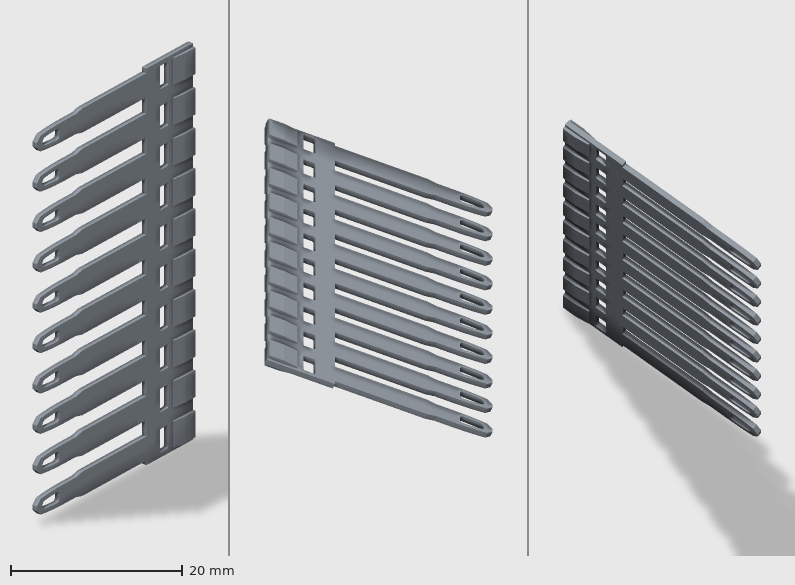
import cadquery as cq
import math

TILT = 3.0
PLATE_THICKNESS = 0.7
TOTAL_LENGTH = 28.5
TOTAL_HEIGHT = 52.1

FINGER_COUNT = 10
END_FINGER_INSET = 2.2
FINGER_PITCH = (TOTAL_HEIGHT - 2 * END_FINGER_INSET) / (FINGER_COUNT - 1)
FINGER_WIDTH = 3.2
NECK_WIDTH = 2.6
TIP_WIDTH = 0.6
FINGER_ROOT = 8.5
SHOULDER_START = 20.2
NECK_START = 21.35
CURVE_START = 23.7
POINT_START = 27.8
SIDE_RADIUS = 31.25

EYELET_START = 24.4
EYELET_END = 27.45
EYELET_MARGIN = 0.55
EYELET_END_RADIUS = 0.5
EYELET_CORNER_RADIUS = 0.4

WINDOW_START = 4.5
WINDOW_END = 6.05
WINDOW_HEIGHT = 3.05
WINDOW_CORNER_RADIUS = 0.2

STRIP_LENGTH = 2.5
PAD_LENGTH = 3.65
PAD_FLAT_LENGTH = 1.9
PAD_HEIGHT = 3.5
PAD_THICKNESS = 0.4
PAD_TIP_THICKNESS = 0.2

LAYOUT = cq.Plane(origin=(0, 0, 0), xDir=(0, -1, 0), normal=(-1, 0, 0))
HALF_PLATE = PLATE_THICKNESS / 2

finger_heights = [(i - (FINGER_COUNT - 1) / 2) * FINGER_PITCH for i in range(FINGER_COUNT)]


def slab(start, end, height):
    """Rectangular piece of plate, centred on the layout plane and on Z = 0."""
    return (
        cq.Workplane(LAYOUT)
        .center((start + end) / 2, 0)
        .rect(end - start, height)
        .extrude(HALF_PLATE, both=True)
    )


def curved_half_width(along, margin=0.0):
    """Half width of the finger's curved part, reduced by a margin normal to its side."""
    radius = SIDE_RADIUS - margin
    drop = radius - math.sqrt(radius**2 - (along - CURVE_START) ** 2)
    return NECK_WIDTH / 2 - margin - drop


def make_finger():
    """Stepped, pointed finger, reaching from the band to its tip."""
    curve_middle = (CURVE_START + POINT_START) / 2
    middle_half = curved_half_width(curve_middle)
    end_half = curved_half_width(POINT_START)
    return (
        cq.Workplane(LAYOUT)
        .moveTo(FINGER_ROOT, -FINGER_WIDTH / 2)
        .lineTo(SHOULDER_START, -FINGER_WIDTH / 2)
        .lineTo(NECK_START, -NECK_WIDTH / 2)
        .lineTo(CURVE_START, -NECK_WIDTH / 2)
        .threePointArc((curve_middle, -middle_half), (POINT_START, -end_half))
        .lineTo(TOTAL_LENGTH, -TIP_WIDTH / 2)
        .lineTo(TOTAL_LENGTH, TIP_WIDTH / 2)
        .lineTo(POINT_START, end_half)
        .threePointArc((curve_middle, middle_half), (CURVE_START, NECK_WIDTH / 2))
        .lineTo(NECK_START, NECK_WIDTH / 2)
        .lineTo(SHOULDER_START, FINGER_WIDTH / 2)
        .lineTo(FINGER_ROOT, FINGER_WIDTH / 2)
        .close()
        .extrude(HALF_PLATE, both=True)
    )


def make_eyelet():
    """Cutter for the eyelet: blunt at the root end, round at the tip end."""
    middle = (EYELET_START + EYELET_END) / 2
    start_half = curved_half_width(EYELET_START, EYELET_MARGIN)
    middle_half = curved_half_width(middle, EYELET_MARGIN)
    end_half = curved_half_width(EYELET_END, EYELET_MARGIN)
    blank = (
        cq.Workplane(LAYOUT)
        .moveTo(EYELET_START, -start_half)
        .threePointArc((middle, -middle_half), (EYELET_END, -end_half))
        .lineTo(EYELET_END, end_half)
        .threePointArc((middle, middle_half), (EYELET_START, start_half))
        .close()
        .extrude(HALF_PLATE, both=True)
    )
    return (
        blank
        .edges("|X").edges("<Y").fillet(EYELET_END_RADIUS)
        .edges("|X").edges(">Y").fillet(EYELET_CORNER_RADIUS)
    )


def make_window():
    """Cutter for the rounded window in the band."""
    return slab(WINDOW_START, WINDOW_END, WINDOW_HEIGHT).edges("|X").fillet(WINDOW_CORNER_RADIUS)


def make_comb():
    """Band with its windows and fingers."""
    comb = slab(STRIP_LENGTH, FINGER_ROOT, TOTAL_HEIGHT)
    finger = make_finger().cut(make_eyelet())
    window = make_window()
    for height in finger_heights:
        comb = comb.cut(window.translate((0, 0, height)))
        comb = comb.union(finger.translate((0, 0, height)))
    return comb


def make_pad():
    """Pad on the +X face, flat near the capped edge and thinning toward the fingers."""
    return (
        cq.Workplane("XY", origin=(0, 0, -PAD_HEIGHT / 2))
        .moveTo(HALF_PLATE, 0)
        .lineTo(HALF_PLATE + PAD_THICKNESS, 0)
        .lineTo(HALF_PLATE + PAD_THICKNESS, -PAD_FLAT_LENGTH)
        .lineTo(HALF_PLATE + PAD_TIP_THICKNESS, -PAD_LENGTH)
        .lineTo(HALF_PLATE, -PAD_LENGTH)
        .close()
        .extrude(PAD_HEIGHT)
    )


def make_edge_strip():
    """Strip against the comb's root edge, with pads that overlap both faces of the comb."""
    strip = slab(0, STRIP_LENGTH, TOTAL_HEIGHT)
    pad = make_pad()
    opposite_pad = pad.mirror("YZ")
    for height in finger_heights:
        strip = strip.union(pad.translate((0, 0, height)))
        strip = strip.union(opposite_pad.translate((0, 0, height)))
    return strip


def tilted(body):
    """Body swung about Z so that the finger tips lean toward -X."""
    return body.rotate((0, 0, 0), (0, 0, 1), -TILT)


comb = tilted(make_comb())
edge_strip = tilted(make_edge_strip())

result = cq.Compound.makeCompound([comb.solids().val(), edge_strip.solids().val()])